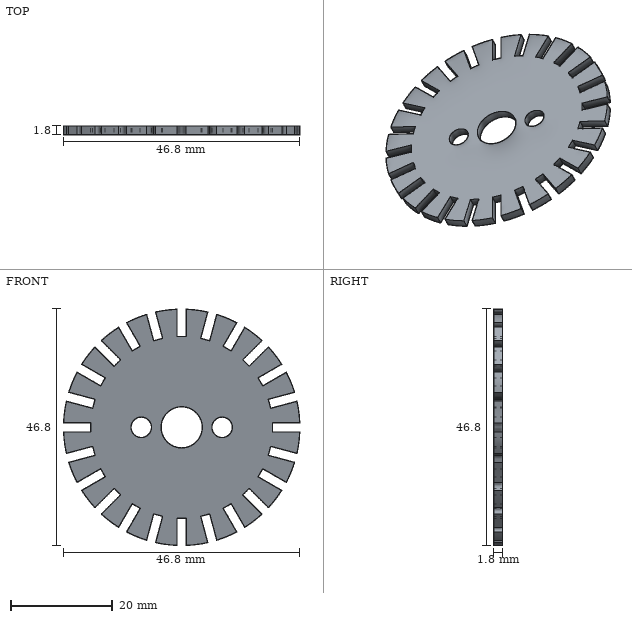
import cadquery as cq

disc_diameter = 46.8
thickness = 1.8
slot_count = 24
slot_width = 1.8
slot_floor_radius = 18.0
center_hole_diameter = 8.1
side_hole_diameter = 4.0
side_hole_offset = 8.0

disc_radius = disc_diameter / 2
slot_overrun = 1.0
slot_cutter_length = disc_radius + slot_overrun - slot_floor_radius
slot_cutter_center = slot_floor_radius + slot_cutter_length / 2
cutter_depth = 2 * thickness
slot_pitch_angle = 360 / slot_count


def make_round(diameter, depth, x=0.0):
    """Cylinder along Y, centred on the disc's mid-plane at the given X."""
    start_plane = cq.Workplane("XZ", origin=(x, depth / 2, 0))
    return start_plane.circle(diameter / 2).extrude(depth)


def cut_holes(disc):
    """Central bore with a smaller through hole on each side along X."""
    disc = disc.cut(make_round(center_hole_diameter, cutter_depth))
    for x in (-side_hole_offset, side_hole_offset):
        disc = disc.cut(make_round(side_hole_diameter, cutter_depth, x))
    return disc


def cut_rim_slots(disc):
    """Parallel-sided, flat-floored radial slots, evenly spaced and open at the rim."""
    cutter = cq.Workplane("XY").box(slot_cutter_length, cutter_depth, slot_width)
    cutter = cutter.translate((slot_cutter_center, 0, 0))
    for index in range(slot_count):
        angle = index * slot_pitch_angle
        disc = disc.cut(cutter.rotate((0, 0, 0), (0, 1, 0), angle))
    return disc


blank = make_round(disc_diameter, thickness)
result = cut_rim_slots(cut_holes(blank))